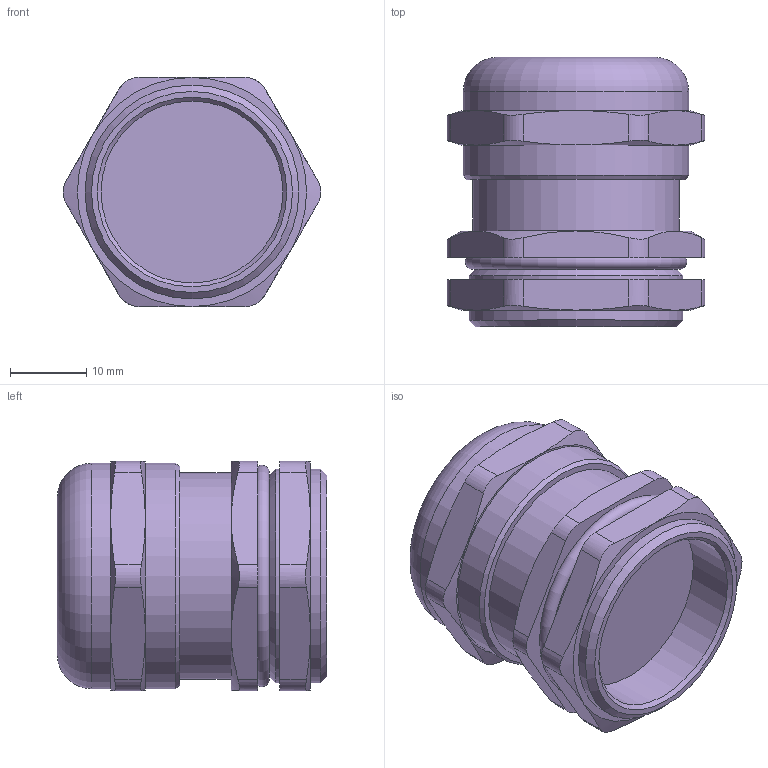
import cadquery as cq
import math


hex_sides = 6
across_flats = 30.0
corner_radius = 3.0
flat_chamfer_angle = 18.0
body_chamfer_angle = 30.0

locknut_start = 2.15
locknut_end = 6.15
thread_end = 7.5
seal_end = 9.0
body_hex_end = 12.5
cap_start = 19.25
cap_hex_start = 23.75
cap_hex_end = 28.25
total_length = 35.25

thread_diameter = 28.0
thread_tip_diameter = 26.3
seal_diameter = 29.0
seal_section_radius = 1.0
body_diameter = 27.0
cap_diameter = 29.5

cap_chamfer_width = 0.4
cap_chamfer_length = 0.55
cap_fillet = 4.5

bore_diameter = 23.8
bore_depth = 6.8
bore_mouth_chamfer = 0.5


def along_y(start):
    """Workplane normal to the part axis at the given station; negative extrusions run toward +Y."""
    return cq.Workplane("XZ", origin=(0, start, 0))


def cylinder(diameter, start, end):
    return along_y(start).circle(diameter / 2).extrude(start - end)


def revolve_about_axis(section):
    """Turn a closed section, drawn as radius against station, about the Y axis."""
    return section.revolve(360, (0, 0, 0), (0, 1, 0))


def revolve_profile(points):
    """Turn a closed outline of straight (radius, station) segments about the Y axis."""
    return revolve_about_axis(cq.Workplane("XY").polyline(points).close())


def hexagon(start, end, start_angle=0.0, end_angle=0.0):
    """Hexagon with rounded corners and optional conical chamfers that just reach its flats."""
    corner_diameter = across_flats / math.cos(math.pi / hex_sides)
    prism = along_y(start).polygon(hex_sides, corner_diameter).extrude(start - end)
    prism = prism.edges("|Y").fillet(corner_radius)

    inner = across_flats / 2
    outer = corner_diameter / 2
    start_drop = (outer - inner) * math.tan(math.radians(start_angle))
    end_drop = (outer - inner) * math.tan(math.radians(end_angle))
    envelope = [(0, start)]
    if start_angle:
        envelope.append((inner, start))
    envelope.append((outer, start + start_drop))
    envelope.append((outer, end - end_drop))
    if end_angle:
        envelope.append((inner, end))
    envelope.append((0, end))
    return prism.intersect(revolve_profile(envelope))


def thread():
    """Threaded stub, chamfered at 45 degrees at both ends."""
    chamfer = (thread_diameter - thread_tip_diameter) / 2
    stub = cylinder(thread_diameter, 0, thread_end)
    return stub.edges("<Y or >Y").chamfer(chamfer)


def seal():
    """O-ring resting against the thread stub and partly sunk into the body hexagon."""
    center_radius = seal_diameter / 2 - seal_section_radius
    center_station = thread_end + seal_section_radius
    sunk_radius = center_radius + math.sqrt(seal_section_radius**2 - (seal_end - center_station) ** 2)
    section = (
        cq.Workplane("XY")
        .moveTo(0, thread_end)
        .lineTo(center_radius, thread_end)
        .threePointArc((seal_diameter / 2, center_station), (sunk_radius, seal_end))
        .lineTo(0, seal_end)
        .close()
    )
    return revolve_about_axis(section)


def cap():
    """Domed cap with a small chamfer on its skirt."""
    dome = cylinder(cap_diameter, cap_start, total_length)
    dome = dome.faces("<Y").chamfer(cap_chamfer_length, cap_chamfer_width)
    dome = dome.edges(">Y").fillet(cap_fillet)
    return dome.union(hexagon(cap_hex_start, cap_hex_end, flat_chamfer_angle, flat_chamfer_angle))


def bore():
    """Blind bore widened by a 45 degree chamfer at its mouth."""
    radius = bore_diameter / 2
    return revolve_profile([
        (0, 0),
        (radius + bore_mouth_chamfer, 0),
        (radius, bore_mouth_chamfer),
        (radius, bore_depth),
        (0, bore_depth),
    ])


result = (
    thread()
    .union(hexagon(locknut_start, locknut_end, start_angle=flat_chamfer_angle))
    .union(seal())
    .union(hexagon(seal_end, body_hex_end, end_angle=body_chamfer_angle))
    .union(cylinder(body_diameter, body_hex_end, cap_start))
    .union(cap())
    .cut(bore())
)